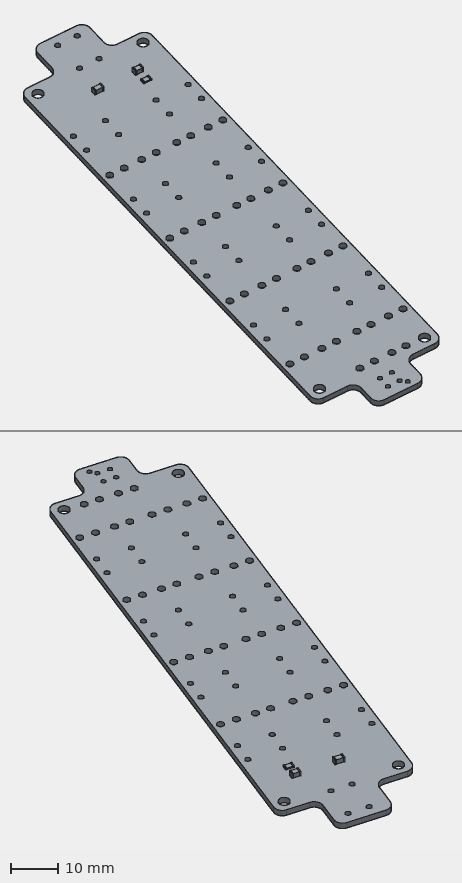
import cadquery as cq

length = 128.0
width = 32.5
overall_height = 2.8

chip_width = 1.3
chip_x = -45.5
cap_length = 0.32
cap_step = 0.06
tall_chip_height = 1.27
low_chip_height = 0.44
upper_chip_y = 7.7
upper_chip_length = 2.0
low_chip_x = -42.4
lower_chip_y = -2.5
lower_chip_length = 2.3

board_thickness = overall_height - tall_chip_height
body_left = -54.7
body_right = 56.3
left_tab_half_width = 6.7
right_tab_top = 6.7
right_tab_bottom = -6.0
corner_radius = 2.0

mount_diameter = 2.5
mount_left_x = -52.0
mount_right_x = 53.6
mount_y = 13.5

group_count = 4
group_pitch = 22.5

column_diameter = 1.7
column_x = -23.5
column_rows = [14.5, 10.8, 6.3, 2.7, -2.5, -6.3, -10.8, -14.5]
end_column_x = 53.4
end_column_rows = [8.8, 5.2, 0.8, -3.0]

pair_diameter = 1.3
pair_pitch = 5.0
pair_inner_y = 6.1
pair_outer_y = 14.3
upper_pair_x = -36.4
lower_pair_x = -37.4

left_tab_diameter = 1.3
left_tab_columns = [-61.5, -53.3]
left_tab_rows = [3.1, -1.9]

right_tab_diameter = 1.08
right_tab_columns = [58.2, 61.2]
right_tab_rows = [1.9, -1.09]
key_hole_diameter = 1.0
key_hole_x = 62.3
key_hole_y = 3.2


def grid(columns, rows):
    return [(x, y) for x in columns for y in rows]


def cut_holes(board, diameter, centres):
    return board.cut(
        cq.Workplane("XY").pushPoints(centres).circle(diameter / 2).extrude(board_thickness)
    )


def make_blank():
    left, right = -length / 2, length / 2
    top, bottom = width / 2, -width / 2
    outline = [
        (left, -left_tab_half_width),
        (body_left, -left_tab_half_width),
        (body_left, bottom),
        (body_right, bottom),
        (body_right, right_tab_bottom),
        (right, right_tab_bottom),
        (right, right_tab_top),
        (body_right, right_tab_top),
        (body_right, top),
        (body_left, top),
        (body_left, left_tab_half_width),
        (left, left_tab_half_width),
    ]
    blank = cq.Workplane("XY").polyline(outline).close().extrude(board_thickness)
    return blank.edges("|Z").fillet(corner_radius)


def pair_centres(first_x, rows):
    return grid([first_x, first_x + pair_pitch], rows)


def make_board():
    board = make_blank()
    board = cut_holes(board, mount_diameter, grid([mount_left_x, mount_right_x], [-mount_y, mount_y]))
    for group in range(group_count):
        shift = group * group_pitch
        pairs = pair_centres(upper_pair_x + shift, [pair_inner_y, pair_outer_y])
        pairs += pair_centres(lower_pair_x + shift, [-pair_inner_y, -pair_outer_y])
        board = cut_holes(board, pair_diameter, pairs)
        board = cut_holes(board, column_diameter, grid([column_x + shift], column_rows))
    board = cut_holes(board, column_diameter, grid([end_column_x], end_column_rows))
    board = cut_holes(board, left_tab_diameter, grid(left_tab_columns, left_tab_rows))
    board = cut_holes(board, right_tab_diameter, grid(right_tab_columns, right_tab_rows))
    return cut_holes(board, key_hole_diameter, [(key_hole_x, key_hole_y)])


def make_chip(x, y, chip_length, height):
    base = cq.Workplane("XY", origin=(x, y, board_thickness))
    chip = base.box(
        chip_width - 2 * cap_step, chip_length, height - cap_step, centered=(True, True, False)
    )
    for side in (-1, 1):
        cap = base.center(0, side * (chip_length - cap_length) / 2).box(
            chip_width, cap_length, height, centered=(True, True, False)
        )
        chip = chip.union(cap)
    return chip


board = make_board()
chips = [
    make_chip(chip_x, upper_chip_y, upper_chip_length, tall_chip_height),
    make_chip(chip_x, lower_chip_y, lower_chip_length, tall_chip_height),
    make_chip(low_chip_x, upper_chip_y, upper_chip_length, low_chip_height),
]

result = cq.Compound.makeCompound([board.val(), *[chip.val() for chip in chips]])